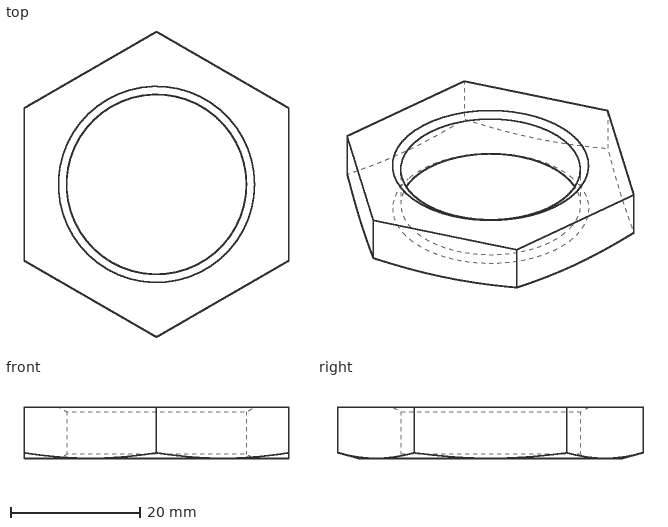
import cadquery as cq
import math

across_corners = 47.35
across_flats = across_corners * math.cos(math.radians(30))
height = 8.0

bore_diameter = 27.85
countersink_diameter = 30.4
countersink_angle = 30.0
countersink_depth = (countersink_diameter - bore_diameter) / 2 * math.tan(math.radians(countersink_angle))

seat_diameter = 40.5
corner_chamfer_angle = 15.0


def hexagonal_blank():
    return (
        cq.Workplane("XY")
        .polygon(6, across_corners)
        .extrude(height)
        .rotate((0, 0, 0), (0, 0, 1), 30)
    )


def corner_chamfer_envelope():
    """Round body whose lower cone widens from the seat circle past the corners."""
    seat_radius = seat_diameter / 2
    outer_radius = across_flats
    cone_height = (outer_radius - seat_radius) * math.tan(math.radians(corner_chamfer_angle))
    return (
        cq.Workplane("XZ")
        .moveTo(0, 0)
        .lineTo(seat_radius, 0)
        .lineTo(outer_radius, cone_height)
        .lineTo(outer_radius, height)
        .lineTo(0, height)
        .close()
        .revolve(360, (0, 0, 0), (0, 1, 0))
    )


def countersunk_bore():
    """Through bore with the same shallow countersink at both ends."""
    bore_radius = bore_diameter / 2
    countersink_radius = countersink_diameter / 2
    return (
        cq.Workplane("XZ")
        .moveTo(0, 0)
        .lineTo(countersink_radius, 0)
        .lineTo(bore_radius, countersink_depth)
        .lineTo(bore_radius, height - countersink_depth)
        .lineTo(countersink_radius, height)
        .lineTo(0, height)
        .close()
        .revolve(360, (0, 0, 0), (0, 1, 0))
    )


result = hexagonal_blank().intersect(corner_chamfer_envelope()).cut(countersunk_bore())